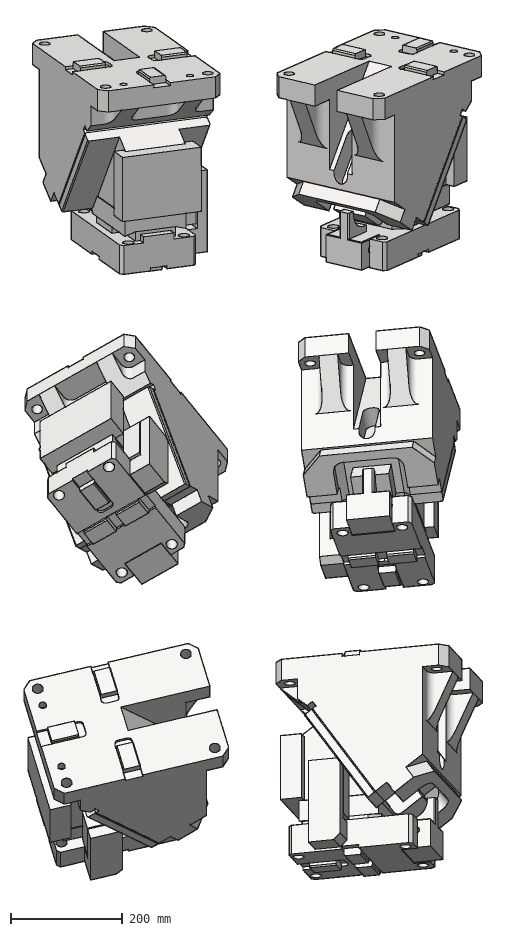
import cadquery as cq
import math

LENGTH = 325.0
WIDTH = 240.0
TOTAL_HEIGHT = 372.0
KEY_RISE = 8.0
PLATE_TOP = TOTAL_HEIGHT - KEY_RISE
PLATE_THICK = 40.0
PLATE_UNDER = PLATE_TOP - PLATE_THICK
PLATE_CHAMFER = 15.0
OVERHANG = 45.0
BLOCK_LEFT = OVERHANG
BLOCK_RIGHT = LENGTH - OVERHANG

GUSSET_FOOT = 230.0
GUSSET_OFFSET = 62.5
GUSSET_WIDTH = 34.2
GUSSET_FILLET = 15.0

BOLT_HOLE = 19.0
BOLT_INSET_X = 24.5
BOLT_Y = 100.0
PIN_HOLE = 13.0
PIN_Y = 65.0
PIN_DEPTH = 20.0

SLIDE_ANGLE = 55.0
FOOT_X = 133.5
FOOT_Z = 95.5
RUN_X = math.cos(math.radians(SLIDE_ANGLE))
RUN_Z = math.sin(math.radians(SLIDE_ANGLE))
SLIDE_LENGTH = 206.0

RELIEF_LENGTH = 11.0
RELIEF_DEPTH = 7.5
RELIEF_LIP = -4.5

STOP_THICK = 25.0
STOP_NEAR = 26.0
STOP_FAR = 105.0
STOP_CHAMFER = 35.0
POCKET_HALF = 64.7
POCKET_FAR = 87.8
POCKET_RADIUS = 20.0
POCKET_DEPTH = 12.5
POCKET_FLOOR_HALF = 50.0
POCKET_TAPER_START = POCKET_DEPTH - (POCKET_HALF - POCKET_FLOOR_HALF)
NOSE_HALF = 35.0
NOSE_FAR = 58.0
NOSE_REACH = 26.5
NOSE_RADIUS = 12.0

SLOT_HALF = 25.0
SLOT_END = 166.0
OBLONG_WIDTH = 29.8
OBLONG_START = 127.5
OBLONG_END = 229.0
OBLONG_DEPTH = 36.0

KEY_WIDTH = 32.5
KEY_LENGTH = 50.0
KEYWAY_DEPTH = 5.5
KEYWAY_RADIUS = 7.8
KEY_CHAMFER_HEIGHT = 3.0
KEY_CHAMFER_WIDTH = 2.0
KEYWAY_SPARE = 15.3
TOP_KEY_X = 180.0
TOP_KEY_INNER_Y = 54.5
TOP_KEY_END_INSET = 20.0
BASE_KEY_X = 195.0
BASE_KEY_INNER_Y = 10.0
BASE_KEY_END_INSET = 22.5

STRIP_THICK = 19.0
STRIP_CHAMFER = 2.2
COLUMN_LEFT = 146.2
COLUMN_RIGHT = 295.5
COLUMN_HALF = 60.0
COLUMN_TOP = 113.0
BODY_HALF = 58.5
HEAD_LEFT = 285.7
HEAD_HALF = 77.0
HEAD_TOP = 234.5

BRACKET_LEFT = 201.0
BRACKET_RIGHT = 260.5
BRACKET_OUTER = 116.8
BRACKET_INNER = 97.0
BRACKET_BOTTOM = 12.5
BRACKET_TOP = 167.5
TOE_TOP = 59.0
TOE_CHAMFER = 12.0
LEDGE_BOTTOM = 68.5
LEDGE_OUTER = 95.0

BASE_LEFT = 79.0
BASE_RIGHT = 311.0
BASE_HALF = 74.5
BASE_TOP = 63.0
BASE_BOTTOM = KEY_RISE
BASE_CHAMFER = 6.0
BASE_HOLE = 20.0
BASE_HOLES_X = (96.7, 298.0)
BASE_HOLE_Y = 54.3

EAVE_Z = 74.5
RIDGE_Z = 80.5
RIDGE_HALF = 39.5
BOSS_CHAMFER = 19.5
BOSS_RIGHT = 236.0
SHELF_HALF = 29.8

INSERT_LEFT = 54.3
INSERT_RIGHT = 109.0
INSERT_HALF = 39.5
INSERT_BOTTOM = 10.0
INSERT_TOP = BASE_TOP
INSERT_CHAMFER = 1.5
RIB_HALF = 10.5
RIB_TOP = 112.0
RIB_TOP_RIGHT = 69.2
RIB_FOOT_Z = 75.0
RIB_RADIUS = 33.5
RIB_CHAMFER = 2.5
CROSS_HOLE_RADIUS = 6.0
CROSS_HOLE_X = 81.0
CROSS_HOLE_Z = 42.8


def incline(run, height):
    """X and Z of a point 'run' up the sliding plane and 'height' into the upper body."""
    return FOOT_X + run * RUN_X - height * RUN_Z, FOOT_Z + run * RUN_Z + height * RUN_X


def incline_plane(run):
    """Plane square to the sliding direction: local x is Y, local y points into the upper body."""
    x, z = incline(run, 0)
    return cq.Workplane(cq.Plane(origin=(x, 0, z), xDir=(0, 1, 0), normal=(RUN_X, 0, RUN_Z)))


def side_prism(points, half_width):
    """Prism of an X-Z outline, symmetric about Y = 0."""
    return cq.Workplane("XZ").polyline(points).close().extrude(half_width, both=True)


def box(x0, x1, y0, y1, z0, z1):
    return cq.Workplane("XY").box(x1 - x0, y1 - y0, z1 - z0, centered=False).translate((x0, y0, z0))


def keyway(length, face_z, inward):
    """Keyway along +X from x = 0, open at its far end and sunk into the face at face_z."""
    outline = cq.Workplane("XY").workplane(offset=face_z)
    cutter = outline.rect(length, KEY_WIDTH).extrude(inward * KEYWAY_DEPTH).translate((length / 2, 0, 0))
    return cutter.edges("|Z and <X").fillet(KEYWAY_RADIUS)


def key(face_z, outward):
    """Key along +X from x = 0, filling its keyway and standing out of the face at face_z."""
    half = KEY_WIDTH / 2
    seat = face_z - outward * KEYWAY_DEPTH
    crest = face_z + outward * KEY_RISE
    shoulder = crest - outward * KEY_CHAMFER_HEIGHT
    section = [
        (-half, seat),
        (half, seat),
        (half, shoulder),
        (half - KEY_CHAMFER_WIDTH, crest),
        (KEY_CHAMFER_WIDTH - half, crest),
        (-half, shoulder),
    ]
    return cq.Workplane("YZ").polyline(section).close().extrude(KEY_LENGTH)


def add_keys(body, seats, face_z, outward):
    """Seats are (x, y, turn, distance from the key's inner end to the open edge)."""
    for x, y, turn, reach in seats:
        groove = keyway(reach + KEYWAY_SPARE, face_z, -outward).translate((-KEYWAY_SPARE, 0, 0))
        body = body.cut(groove.rotate((0, 0, 0), (0, 0, 1), turn).translate((x, y, 0)))
    for x, y, turn, reach in seats:
        body = body.union(key(face_z, outward).rotate((0, 0, 0), (0, 0, 1), turn).translate((x, y, 0)))
    return body


def stop_clearance():
    """Pocket around the stop nose, with rounded far corners and a tapered bottom."""
    overlap = STRIP_THICK
    pocket = (
        incline_plane(-STOP_THICK)
        .center(0, (POCKET_FAR - overlap) / 2)
        .rect(2 * POCKET_HALF, POCKET_FAR + overlap)
        .extrude(STOP_THICK + POCKET_DEPTH)
    )
    edge_x, edge_z = incline(0, POCKET_FAR)
    far_edges = cq.selectors.BoxSelector(
        (edge_x - STOP_THICK, -WIDTH, edge_z - STOP_THICK),
        (edge_x + STOP_THICK, WIDTH, edge_z + STOP_THICK),
    )
    along_run = cq.selectors.ParallelDirSelector(cq.Vector(RUN_X, 0, RUN_Z))
    pocket = pocket.edges(along_run).edges(far_edges).fillet(POCKET_RADIUS)
    start_x, start_z = incline(0, -overlap)
    funnel_plane = cq.Plane(
        origin=(start_x, 0, start_z), xDir=(0, 1, 0), normal=(RUN_Z, 0, -RUN_X)
    )
    funnel = (
        cq.Workplane(funnel_plane)
        .polyline([
            (-POCKET_HALF, -STOP_THICK),
            (POCKET_HALF, -STOP_THICK),
            (POCKET_HALF, POCKET_TAPER_START),
            (POCKET_FLOOR_HALF, POCKET_DEPTH),
            (-POCKET_FLOOR_HALF, POCKET_DEPTH),
            (-POCKET_HALF, POCKET_TAPER_START),
        ])
        .close()
        .extrude(-(POCKET_FAR + overlap))
    )
    return pocket.intersect(funnel)


def stop_nose():
    """Rounded nose that stands in the middle of the clearance pocket."""
    nose = side_prism(
        [
            incline(-NOSE_REACH, 0),
            incline(POCKET_DEPTH, 0),
            incline(POCKET_DEPTH, NOSE_FAR),
            incline(-NOSE_REACH, NOSE_FAR),
        ],
        NOSE_HALF,
    )
    return nose.edges("|Y").edges("<Z").fillet(NOSE_RADIUS)


def gusset(wall_x, tip_x):
    """Vertical rib between wall_x and tip_x with concave fillets at the wall, before sloping."""
    side = math.copysign(1, tip_x - wall_x)
    half = GUSSET_WIDTH / 2
    flare = half + GUSSET_FILLET
    bend = GUSSET_FILLET * (1 - math.sqrt(0.5))
    fillet_x = wall_x + side * GUSSET_FILLET
    return (
        cq.Workplane("XY")
        .moveTo(wall_x, -flare)
        .threePointArc((wall_x + side * bend, -half - bend), (fillet_x, -half))
        .lineTo(tip_x, -half)
        .lineTo(tip_x, half)
        .lineTo(fillet_x, half)
        .threePointArc((wall_x + side * bend, half + bend), (wall_x, flare))
        .close()
        .extrude(PLATE_UNDER)
    )


def upper_envelope():
    """Full side outline of the upper body, gusset slopes included."""
    corner_run = (FOOT_X - BLOCK_LEFT) / RUN_Z
    return side_prism(
        [
            (0, PLATE_TOP),
            (LENGTH, PLATE_TOP),
            (LENGTH, PLATE_UNDER),
            incline(SLIDE_LENGTH + RELIEF_LENGTH, RELIEF_LIP),
            incline(SLIDE_LENGTH + RELIEF_LENGTH, RELIEF_DEPTH),
            incline(SLIDE_LENGTH, RELIEF_DEPTH),
            incline(SLIDE_LENGTH, 0),
            incline(0, 0),
            incline(0, corner_run),
            (BLOCK_LEFT, GUSSET_FOOT),
            (0, PLATE_UNDER),
        ],
        WIDTH / 2,
    )


def stop_plate():
    plate = incline_plane(-STOP_THICK).center(0, (STOP_NEAR + STOP_FAR) / 2)
    plate = plate.rect(WIDTH, STOP_FAR - STOP_NEAR).extrude(STOP_THICK)
    upper_face = plate.faces(cq.selectors.DirectionMinMaxSelector(cq.Vector(-RUN_Z, 0, RUN_X)))
    corner_edges = upper_face.edges(cq.selectors.ParallelDirSelector(cq.Vector(RUN_X, 0, RUN_Z)))
    return cq.Workplane(plate.val().chamfer(STOP_CHAMFER, None, corner_edges.vals()))


def sloping_slot():
    """Slot whose floor is parallel to the sliding plane, with an oblong pocket in the floor."""
    drop = PLATE_TOP - SLOT_END * RUN_Z / RUN_X
    slot = side_prism([(0, drop), (SLOT_END, PLATE_TOP), (0, PLATE_TOP)], SLOT_HALF)
    middle = (OBLONG_START + OBLONG_END) / 2
    floor_plane = cq.Plane(
        origin=(SLOT_END - middle * RUN_X, 0, PLATE_TOP - middle * RUN_Z),
        xDir=(RUN_X, 0, RUN_Z),
        normal=(RUN_Z, 0, -RUN_X),
    )
    oblong = cq.Workplane(floor_plane).slot2D(OBLONG_END - OBLONG_START, OBLONG_WIDTH).extrude(OBLONG_DEPTH)
    return slot.union(oblong)


def make_upper():
    half = WIDTH / 2
    plate = box(0, LENGTH, -half, half, PLATE_UNDER, PLATE_TOP).edges("|Z").chamfer(PLATE_CHAMFER)
    limits = plate.union(box(BLOCK_LEFT, BLOCK_RIGHT, -half, half, 0, PLATE_UNDER))
    for y in (-GUSSET_OFFSET, GUSSET_OFFSET):
        limits = limits.union(gusset(BLOCK_LEFT, 0).translate((0, y, 0)))
        limits = limits.union(gusset(BLOCK_RIGHT, LENGTH).translate((0, y, 0)))
    upper = upper_envelope().intersect(limits)
    upper = upper.union(stop_plate()).cut(stop_clearance()).union(stop_nose())
    upper = upper.cut(sloping_slot())

    for x in (BOLT_INSET_X, LENGTH - BOLT_INSET_X):
        for y in (-BOLT_Y, BOLT_Y):
            hole = cq.Workplane("XY").center(x, y).circle(BOLT_HOLE / 2).extrude(PLATE_THICK)
            upper = upper.cut(hole.translate((0, 0, PLATE_UNDER)))
    for y in (-PIN_Y, PIN_Y):
        hole = cq.Workplane("XY").center(LENGTH - BOLT_INSET_X, y).circle(PIN_HOLE / 2).extrude(PIN_DEPTH)
        upper = upper.cut(hole.translate((0, 0, PLATE_TOP - PIN_DEPTH)))

    side_reach = half - TOP_KEY_INNER_Y
    end_reach = TOP_KEY_END_INSET + KEY_LENGTH
    seats = [
        (TOP_KEY_X, TOP_KEY_INNER_Y, 90, side_reach),
        (TOP_KEY_X, -TOP_KEY_INNER_Y, -90, side_reach),
        (LENGTH - end_reach, 0, 0, end_reach),
    ]
    return add_keys(upper, seats, PLATE_TOP, 1)


def boss_section():
    """Roof-shaped cross-section of the boss, in Y and Z."""
    return [
        (-COLUMN_HALF, BASE_BOTTOM),
        (COLUMN_HALF, BASE_BOTTOM),
        (COLUMN_HALF, EAVE_Z),
        (RIDGE_HALF, RIDGE_Z),
        (-RIDGE_HALF, RIDGE_Z),
        (-COLUMN_HALF, EAVE_Z),
    ]


def roof():
    """Solid under the roof surface, over the length of the slide's column."""
    section = cq.Workplane("YZ").workplane(offset=COLUMN_LEFT).polyline(boss_section()).close()
    return section.extrude(COLUMN_RIGHT - COLUMN_LEFT)


def return_bracket():
    """L-shaped bracket with a ledge, hanging from the slide strip on the +Y side."""
    leg = box(BRACKET_LEFT, BRACKET_RIGHT, BRACKET_INNER, BRACKET_OUTER, BRACKET_BOTTOM, BRACKET_TOP)
    toe = box(BRACKET_LEFT, BRACKET_RIGHT, BASE_HALF, BRACKET_OUTER, BRACKET_BOTTOM, TOE_TOP)
    ledge = box(BRACKET_LEFT, BRACKET_RIGHT, COLUMN_HALF, LEDGE_OUTER, LEDGE_BOTTOM, BRACKET_TOP)
    bracket = leg.union(toe).edges("<X and <Z").chamfer(TOE_CHAMFER)
    return bracket.union(ledge)


def make_slide():
    strip = side_prism(
        [
            incline(0, 0),
            incline(SLIDE_LENGTH, 0),
            incline(SLIDE_LENGTH, -STRIP_THICK),
            incline(0, -STRIP_THICK),
        ],
        WIDTH / 2,
    )
    along_run = cq.selectors.ParallelDirSelector(cq.Vector(RUN_X, 0, RUN_Z))
    strip = strip.edges(along_run).chamfer(STRIP_CHAMFER)
    strip = strip.cut(stop_clearance().intersect(box(0, COLUMN_LEFT, -WIDTH, WIDTH, 0, PLATE_TOP)))

    body = side_prism(
        [
            (COLUMN_LEFT, COLUMN_TOP),
            incline(SLIDE_LENGTH, -STRIP_THICK),
            (COLUMN_RIGHT, HEAD_TOP),
            (COLUMN_RIGHT, COLUMN_TOP),
        ],
        BODY_HALF,
    )
    column = box(COLUMN_LEFT, COLUMN_RIGHT, -COLUMN_HALF, COLUMN_HALF, EAVE_Z, COLUMN_TOP).cut(roof())
    head = box(HEAD_LEFT, LENGTH, -HEAD_HALF, HEAD_HALF, COLUMN_TOP, HEAD_TOP)
    return strip.union(body).union(column).union(head).union(return_bracket())


def boss():
    """Roof-shaped boss with chamfered front corners, a ridge behind it and a lower end shelf."""
    block = box(COLUMN_LEFT, BOSS_RIGHT, -COLUMN_HALF, COLUMN_HALF, BASE_BOTTOM, RIDGE_Z)
    block = block.edges("|Z and <X").chamfer(BOSS_CHAMFER).intersect(roof())
    ridge = box(BOSS_RIGHT, COLUMN_RIGHT, -RIDGE_HALF, RIDGE_HALF, BASE_BOTTOM, RIDGE_Z)
    shelf = box(COLUMN_RIGHT, BASE_RIGHT, -SHELF_HALF, SHELF_HALF, BASE_BOTTOM, EAVE_Z)
    return block.union(ridge).union(shelf)


def front_insert():
    """Block in the front gap of the base, with an upright rib and a cross hole."""
    block = box(INSERT_LEFT, INSERT_RIGHT, -INSERT_HALF, INSERT_HALF, INSERT_BOTTOM, INSERT_TOP)
    block = block.edges(">Z and (<X or <Y or >Y)").chamfer(INSERT_CHAMFER)
    arc_end_x = RIB_TOP_RIGHT + RIB_RADIUS
    bend = RIB_RADIUS * (1 - math.sqrt(0.5))
    rib = (
        cq.Workplane("XZ")
        .moveTo(INSERT_LEFT, INSERT_BOTTOM)
        .lineTo(INSERT_LEFT, RIB_TOP)
        .lineTo(RIB_TOP_RIGHT, RIB_TOP)
        .lineTo(RIB_TOP_RIGHT, RIB_FOOT_Z + RIB_RADIUS)
        .threePointArc((RIB_TOP_RIGHT + bend, RIB_FOOT_Z + bend), (arc_end_x, RIB_FOOT_Z))
        .lineTo(INSERT_RIGHT, RIB_FOOT_Z)
        .lineTo(INSERT_RIGHT, INSERT_BOTTOM)
        .close()
        .extrude(RIB_HALF, both=True)
        .edges("|Z and <X")
        .chamfer(RIB_CHAMFER)
    )
    hole = (
        cq.Workplane("XZ")
        .center(CROSS_HOLE_X, CROSS_HOLE_Z)
        .circle(CROSS_HOLE_RADIUS)
        .extrude(INSERT_HALF, both=True)
    )
    return block.union(rib).cut(hole)


def make_base():
    base = box(BASE_LEFT, BASE_RIGHT, -BASE_HALF, BASE_HALF, BASE_BOTTOM, BASE_TOP)
    base = base.edges("|Z").chamfer(BASE_CHAMFER)
    base = base.cut(box(BASE_LEFT, INSERT_RIGHT, -INSERT_HALF, INSERT_HALF, BASE_BOTTOM, BASE_TOP))
    for x in BASE_HOLES_X:
        for y in (-BASE_HOLE_Y, BASE_HOLE_Y):
            hole = cq.Workplane("XY").center(x, y).circle(BASE_HOLE / 2).extrude(BASE_TOP)
            base = base.cut(hole)
    base = base.union(boss()).union(front_insert())

    side_reach = BASE_HALF - BASE_KEY_INNER_Y
    end_reach = BASE_KEY_END_INSET + KEY_LENGTH
    seats = [
        (BASE_KEY_X, BASE_KEY_INNER_Y, 90, side_reach),
        (BASE_KEY_X, -BASE_KEY_INNER_Y, -90, side_reach),
        (BASE_RIGHT - end_reach, 0, 0, end_reach),
    ]
    return add_keys(base, seats, BASE_BOTTOM, -1)


upper = make_upper()
slide = make_slide()
base = make_base()
result = cq.Compound.makeCompound([upper.val(), slide.val(), base.val()])